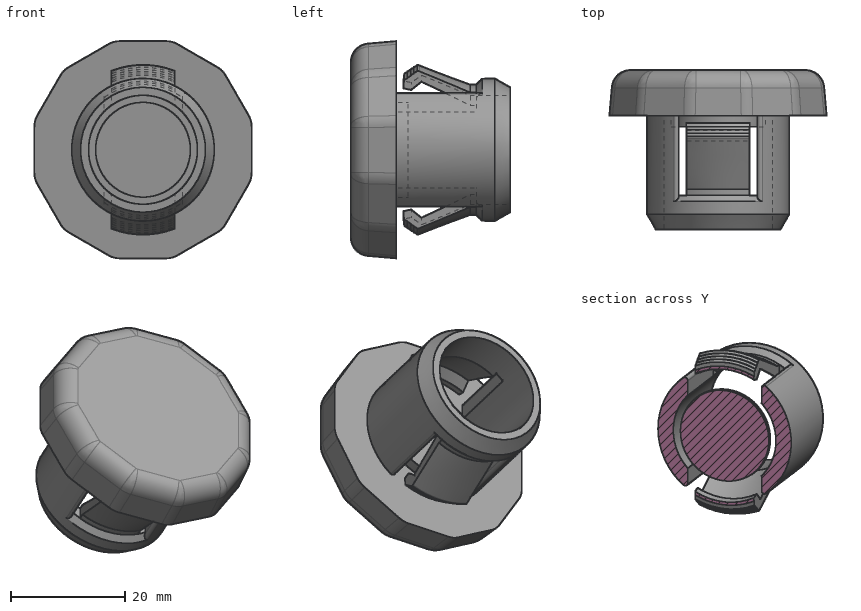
import cadquery as cq
import math


HEAD_WIDTH = 38.13
HEAD_SIDES = 12
HEAD_THICKNESS = 8.0
HEAD_TAPER = 5.0
HEAD_CORNER_RADIUS = 4.0
HEAD_RIM_RADIUS = 3.4

BARREL_LENGTH = 19.98
BARREL_RADIUS = 25.0 / 2
BORE_RADIUS = 19.1 / 2
LEAD_LENGTH = 2.7
LEAD_ANGLE = 30.0
LEAD_INSET = LEAD_LENGTH * math.tan(math.radians(LEAD_ANGLE))
BOSS_RADIUS = 16.62 / 2
BOSS_HEIGHT = 2.0

WINDOW_HALF_WIDTH = 6.85
WINDOW_LENGTH = 14.0
WINDOW_EDGE_RADIUS = 0.55

ARM_WIDTH = 11.05
ARM_ROOT_THICKNESS = 1.9
ARM_ROOT_RADIUS = BORE_RADIUS + ARM_ROOT_THICKNESS
ARM_FLAT_LENGTH = 1.05
ARM_SHOULDER_RADIUS = 14.85
ARM_SHOULDER_Y = -4.0
ARM_ELBOW_RADIUS = 13.1
ARM_ELBOW_Y = -4.4
TIP_Y = -1.22
TIP_SLANT = 0.15
TIP_INNER_RADIUS = 12.1
HEEL_RADIUS = 11.82
HEEL_Y = -2.6

TOOTH_COUNT = 4
TOOTH_PITCH = 0.57
TOOTH_DROP = 0.325
TOOTH_STEP = 0.057
PEAK_RADIUS = 14.9

WINDOW_BEVEL = BARREL_RADIUS - ARM_ROOT_RADIUS


def revolve_about_axis(points):
    """Revolve a closed (radius, y) outline about the plug axis."""
    return cq.Workplane("XY").polyline(points).close().revolve(360, (0, 0, 0), (0, 1, 0))


def make_head():
    """Round the twelve side edges and the top rim of the tapered cap."""
    circumscribed_diameter = HEAD_WIDTH / math.cos(math.pi / HEAD_SIDES)
    half_side_angle = 180 / HEAD_SIDES
    head = (
        cq.Workplane("XZ")
        .transformed(rotate=(0, 0, half_side_angle))
        .polygon(HEAD_SIDES, circumscribed_diameter)
        .extrude(-HEAD_THICKNESS, taper=HEAD_TAPER)
    )
    head = head.edges("not #Y").fillet(HEAD_CORNER_RADIUS)
    return head.faces(">Y").edges().fillet(HEAD_RIM_RADIUS)


def make_barrel():
    return revolve_about_axis([
        (BORE_RADIUS, 0),
        (BARREL_RADIUS, 0),
        (BARREL_RADIUS, LEAD_LENGTH - BARREL_LENGTH),
        (BARREL_RADIUS - LEAD_INSET, -BARREL_LENGTH),
        (BORE_RADIUS, -BARREL_LENGTH),
    ])


def make_boss():
    return cq.Workplane("XZ").circle(BOSS_RADIUS).extrude(BOSS_HEIGHT)


def cut_windows(barrel):
    """Cut both windows, rounding their long edges and bevelling their ends."""
    length = WINDOW_LENGTH + WINDOW_BEVEL
    window = cq.Workplane("XZ").rect(2 * WINDOW_HALF_WIDTH, 2 * BARREL_RADIUS).extrude(length)
    rod = cq.Workplane("XZ").circle(BARREL_RADIUS).extrude(length)
    side_walls = rod.cut(window).edges("|Y").fillet(WINDOW_EDGE_RADIUS)
    core = cq.Workplane("XZ").circle(BORE_RADIUS).extrude(length)
    end_stop = revolve_about_axis([
        (0, -WINDOW_LENGTH),
        (ARM_ROOT_RADIUS, -WINDOW_LENGTH),
        (BARREL_RADIUS, -length),
        (0, -length),
    ])
    cutter = rod.cut(side_walls).cut(core).cut(end_stop)
    return barrel.cut(cutter)


def tooth_points():
    """Outline of the stepped outer side of a tip, from its peak to its end."""
    points = [(PEAK_RADIUS, TIP_Y - TIP_SLANT - TOOTH_COUNT * TOOTH_PITCH)]
    for _ in range(TOOTH_COUNT):
        radius, y = points[-1]
        points.append((radius - TOOTH_STEP, y))
        points.append((radius - TOOTH_STEP - TOOTH_DROP, y + TOOTH_PITCH))
    return points


def make_arms():
    """Both arms: a revolved hook profile trimmed to the arm width."""
    arm_flat_end = ARM_FLAT_LENGTH - WINDOW_LENGTH
    ring = revolve_about_axis([
        (BORE_RADIUS, -WINDOW_LENGTH - WINDOW_BEVEL),
        (ARM_ROOT_RADIUS, -WINDOW_LENGTH - WINDOW_BEVEL),
        (ARM_ROOT_RADIUS, arm_flat_end),
        (ARM_SHOULDER_RADIUS, ARM_SHOULDER_Y),
        *tooth_points(),
        (TIP_INNER_RADIUS, TIP_Y),
        (HEEL_RADIUS, HEEL_Y),
        (ARM_ELBOW_RADIUS, ARM_ELBOW_Y),
        (BORE_RADIUS, arm_flat_end),
    ])
    strip = cq.Workplane("XZ").rect(ARM_WIDTH, 2 * HEAD_WIDTH).extrude(BARREL_LENGTH)
    return ring.intersect(strip)


result = make_head().union(make_boss()).union(cut_windows(make_barrel())).union(make_arms())